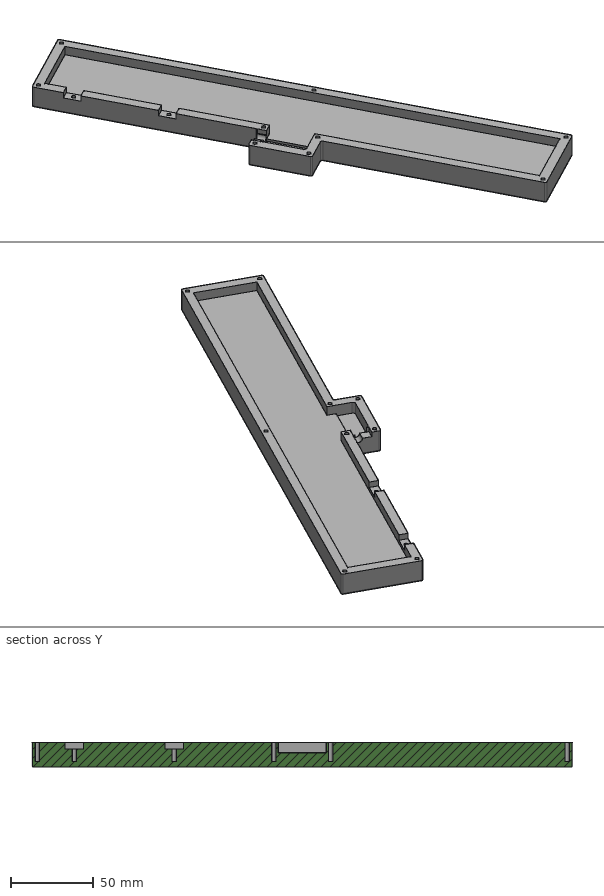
import cadquery as cq

length = 328.0
overall_width = 70.0
height = 15.0
tab_width = 40.7
tab_depth = 17.7
body_width = overall_width - tab_depth
wall = 6.0
end_wall = 6.2

body_pocket_depth = 6.2
tab_pocket_depth = 8.0
corner_radius = 1.15
pocket_corner_radius = 1.5
bottom_radius = 1.0

hole_diameter = 2.45
hole_depth = 11.5
hole_inset = 3.1

notch_width = 11.0
notch_depth = 4.0
notch_centers = (25.5, 86.3)
shelf_depth = 3.3
cable_radius = 2.5
cable_center_y = -3.3

mid_x = length / 2
tab_left = mid_x - tab_width / 2
tab_right = mid_x + tab_width / 2


def box(x_min, x_max, y_min, y_max, z_min, z_max):
    """Axis-aligned block between the given limits."""
    size = (x_max - x_min, y_max - y_min, z_max - z_min)
    return cq.Workplane("XY").box(*size, centered=False).translate((x_min, y_min, z_min))


def make_blank():
    """Solid T-shaped block with rounded upright edges and a rounded base edge."""
    body = box(0, length, 0, body_width, 0, height)
    tab = box(tab_left, tab_right, -tab_depth, wall, 0, height)
    blank = body.union(tab).clean()
    blank = blank.edges("|Z").fillet(corner_radius)
    return blank.faces("<Z").edges().fillet(bottom_radius)


def make_pockets():
    """Main pocket and the tab pocket that opens into it through the front wall."""
    main = box(end_wall, length - end_wall, wall, body_width - wall, height - body_pocket_depth, height)
    left = tab_left + wall
    right = tab_right - wall
    tab = box(left, right, wall - tab_depth, 0, height - tab_pocket_depth, height)
    tab = tab.edges("|Z and <Y").fillet(pocket_corner_radius)
    passage = box(left, right, 0, wall, height - body_pocket_depth, height)
    return main.union(passage).union(tab)


def make_notch(center_x):
    """Shallow opening across the front wall of the body."""
    half = notch_width / 2
    return box(center_x - half, center_x + half, 0, wall, height - notch_depth, height)


def make_cable_opening():
    """Opening through the left wall of the tab: a shelf with a round groove in it."""
    shelf_z = height - shelf_depth
    inner_x = tab_left + wall
    shelf = box(tab_left, inner_x, wall - tab_depth, 0, shelf_z, height)
    groove = (
        cq.Workplane("YZ", origin=(tab_left, 0, 0))
        .center(cable_center_y, shelf_z)
        .circle(cable_radius)
        .extrude(wall)
    )
    return shelf.union(groove)


def make_holes():
    """Blind screw holes around the rim."""
    front = hole_inset
    back = body_width - hole_inset
    tab_front = hole_inset - tab_depth
    points = [(mid_x, back)]
    points += [(x, y) for x in (hole_inset, length - hole_inset) for y in (front, back)]
    points += [(x, front) for x in notch_centers]
    points += [(x, y) for x in (tab_left + hole_inset, tab_right - hole_inset) for y in (front, tab_front)]
    return (
        cq.Workplane("XY", origin=(0, 0, height - hole_depth))
        .pushPoints(points)
        .circle(hole_diameter / 2)
        .extrude(hole_depth)
    )


result = make_blank().cut(make_pockets()).cut(make_cable_opening())
for notch_center in notch_centers:
    result = result.cut(make_notch(notch_center))
result = result.cut(make_holes())